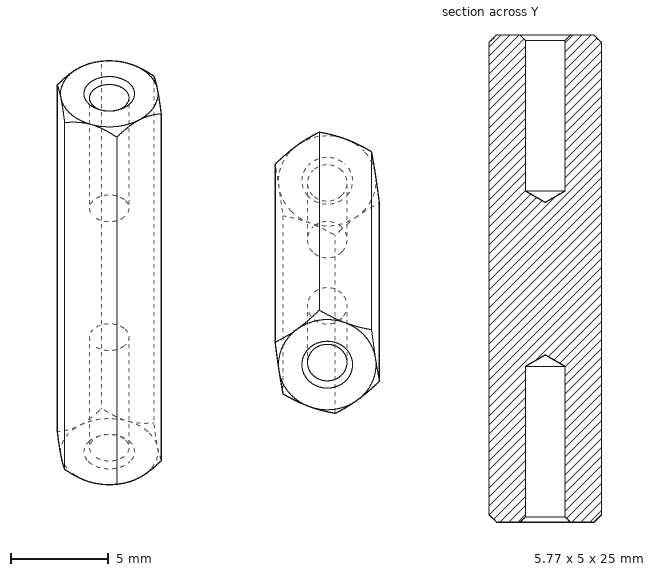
import cadquery as cq
import math

length = 25.0
across_flats = 5.0
across_corners = across_flats / math.cos(math.radians(30))

end_face_radius = across_flats / 2
chamfer_angle = 45.0

hole_diameter = 2.02
hole_depth = 8.0
drill_point_angle = 120.0
mouth_diameter = 2.6
mouth_angle = 90.0


def hexagonal_bar():
    """Hexagonal bar with two corners on the X axis."""
    return cq.Workplane("XY").polygon(6, across_corners).extrude(length)


def chamfer_envelope():
    """Round body with 45-degree cones at both ends, bounding the hexagon."""
    corner_radius = across_corners / 2
    chamfer_height = (corner_radius - end_face_radius) * math.tan(math.radians(chamfer_angle))
    return (
        cq.Workplane("XZ")
        .lineTo(end_face_radius, 0)
        .lineTo(corner_radius, chamfer_height)
        .lineTo(corner_radius, length - chamfer_height)
        .lineTo(end_face_radius, length)
        .lineTo(0, length)
        .close()
        .revolve(360, (0, 0), (0, 1))
    )


def top_hole():
    """Countersunk hole with a conical drill point, opening at the top face."""
    hole_radius = hole_diameter / 2
    mouth_radius = mouth_diameter / 2
    mouth_depth = (mouth_radius - hole_radius) / math.tan(math.radians(mouth_angle / 2))
    point_depth = hole_radius / math.tan(math.radians(drill_point_angle / 2))
    shoulder_z = length - hole_depth
    return (
        cq.Workplane("XZ")
        .moveTo(0, length)
        .lineTo(mouth_radius, length)
        .lineTo(hole_radius, length - mouth_depth)
        .lineTo(hole_radius, shoulder_z)
        .lineTo(0, shoulder_z - point_depth)
        .close()
        .revolve(360, (0, 0), (0, 1))
    )


upper_hole = top_hole()
lower_hole = upper_hole.mirror("XY", (0, 0, length / 2))

result = hexagonal_bar().intersect(chamfer_envelope()).cut(upper_hole).cut(lower_hole)